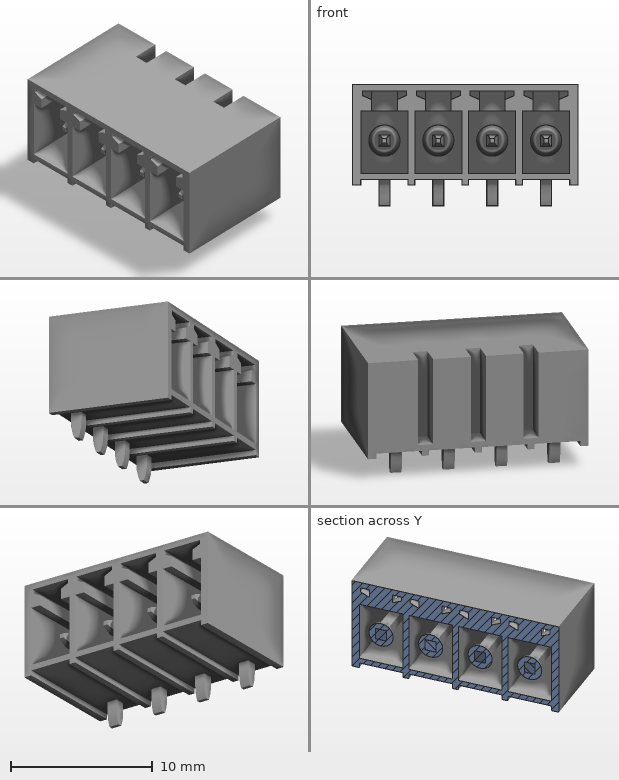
import cadquery as cq


length = 15.93
depth = 9.2
height = 7.1
overall_height = 8.57

port_count = 4
pitch = 3.8
port_width = 3.31
port_floor = 0.81
port_roof = 5.24
port_depth = 6.85

neck_width = 1.82
neck_depth = 5.9
wing_span = 3.1
wing_depth = port_depth
slot_top = 6.63
wing_outer_bottom = 6.32
wing_inner_bottom = 6.04

foot_height = 0.38

notch_width = 1.07
notch_depth = 1.98
notch_floor = port_floor

collar_base_radius = 1.1
collar_top_radius = 0.85
collar_height = 0.8
collar_fillet = 0.19

pin_size = 0.8
pin_axis_height = 3.14
pin_front = 1.37
pin_leg_back = 8.3
pin_bottom = height - overall_height
tip_length = 1.12
tip_size = 0.32

half_pin = pin_size / 2
half_tip = tip_size / 2
tip_inset = half_pin - half_tip
tip_radius = (tip_length**2 + tip_inset**2) / (2 * tip_inset)
port_centres = [(i - (port_count - 1) / 2) * pitch for i in range(port_count)]
wall_centres = [(left + right) / 2 for left, right in zip(port_centres, port_centres[1:])]


def box(x_centre, width, y_range, z_range):
    """Box centred on x_centre that fills the given Y and Z ranges."""
    y_start, y_end = y_range
    z_start, z_end = z_range
    return (
        cq.Workplane("XY", origin=(x_centre, y_start, z_start))
        .box(width, y_end - y_start, z_end - z_start, centered=(True, False, False))
    )


def coding_wings(x_centre):
    """The two wings of a coding slot, which slope down toward the neck between them."""
    wing = (
        cq.Workplane("XZ", origin=(x_centre, 0, 0))
        .moveTo(neck_width / 2, slot_top)
        .lineTo(wing_span / 2, slot_top)
        .lineTo(wing_span / 2, wing_outer_bottom)
        .lineTo(neck_width / 2, wing_inner_bottom)
        .close()
        .extrude(-wing_depth)
    )
    return wing.union(wing.mirror("YZ", (x_centre, 0, 0)))


def collar(x_centre):
    """Tapered round collar standing on the back wall of a port, with a rounded front rim."""
    cone = cq.Solid.makeCone(
        collar_base_radius,
        collar_top_radius,
        collar_height,
        pnt=cq.Vector(x_centre, port_depth, pin_axis_height),
        dir=cq.Vector(0, -1, 0),
    )
    return cq.Workplane(cone).faces("<Y").edges().fillet(collar_fillet)


def tip_chamfer(x_centre, side):
    """Wedge that slopes one side of the front tip in toward the pin axis (side is -1 or 1)."""
    return (
        cq.Workplane("XY", origin=(x_centre, 0, pin_axis_height - half_pin))
        .moveTo(side * half_tip, pin_front)
        .lineTo(side * half_pin, pin_front + tip_length)
        .lineTo(side * half_pin, pin_front)
        .close()
        .extrude(pin_size)
    )


def make_pin(x_centre):
    """L-shaped square pin: a bar along Y with a tapered front tip and a leg down to a tapered end."""
    leg_front = pin_leg_back - pin_size
    leg_axis = pin_leg_back - half_pin
    bar_top = pin_axis_height + half_pin
    bar_bottom = pin_axis_height - half_pin
    tip_start = pin_front + tip_length
    end_start = pin_bottom + tip_length
    profile = (
        cq.Workplane("YZ", origin=(x_centre - half_pin, 0, 0))
        .moveTo(pin_leg_back, bar_top)
        .lineTo(tip_start, bar_top)
        .tangentArcPoint((pin_front, pin_axis_height + half_tip), relative=False)
        .lineTo(pin_front, pin_axis_height - half_tip)
        .radiusArc((tip_start, bar_bottom), -tip_radius)
        .lineTo(leg_front, bar_bottom)
        .lineTo(leg_front, end_start)
        .tangentArcPoint((leg_axis - half_tip, pin_bottom), relative=False)
        .lineTo(leg_axis + half_tip, pin_bottom)
        .radiusArc((pin_leg_back, end_start), -tip_radius)
        .close()
    )
    pin = profile.extrude(pin_size)
    for side in (-1, 1):
        pin = pin.cut(tip_chamfer(x_centre, side))
    return pin


def make_housing(fitted_pins):
    """Block with ports, coding slots, collars, feet and notches, and a matching hole for each pin."""
    housing = box(0, length, (0, depth), (0, height))
    for x_centre in port_centres:
        housing = housing.cut(box(x_centre, port_width, (0, port_depth), (port_floor, port_roof)))
        housing = housing.cut(coding_wings(x_centre))
        housing = housing.cut(box(x_centre, neck_width, (0, neck_depth), (port_roof, slot_top)))
        housing = housing.cut(box(x_centre, port_width, (0, depth), (0, foot_height)))
        housing = housing.union(collar(x_centre))
    for x_centre in wall_centres:
        housing = housing.cut(box(x_centre, notch_width, (depth - notch_depth, depth), (notch_floor, height)))
    for pin in fitted_pins:
        housing = housing.cut(pin)
    return housing


pins = [make_pin(x_centre) for x_centre in port_centres]
housing = make_housing(pins)
result = cq.Compound.makeCompound([housing.solids().val(), *[pin.solids().val() for pin in pins]])